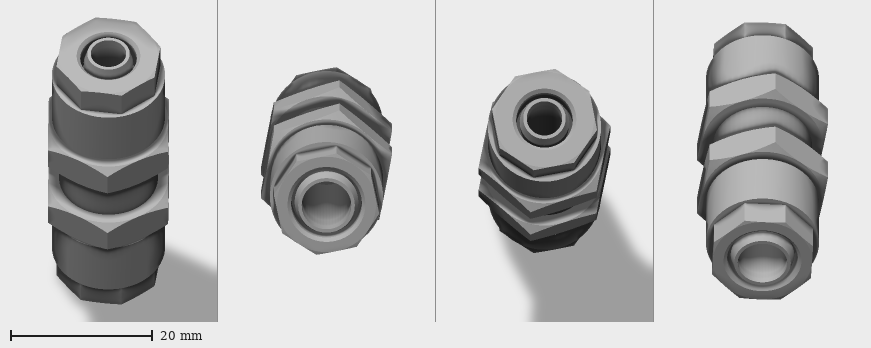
import cadquery as cq
import math

TOTAL_LENGTH = 46.0
MID_Z = TOTAL_LENGTH / 2
THREAD_DIA = 14.0

HEX_NUT_FLATS = 17.0
HEX_NUT_HEIGHT = 5.0
HEX_NUT_SPACING = 7.0
HEX_NUT_CHAMFER_ANGLE = 30.0

CAP_DIA = 16.0
CAP_INNER_END = 9.0
CAP_OUTER_END = 22.5
CAP_SKIRT_CHAMFER = 0.5
GRIP_FLATS = 14.0
GRIP_HEIGHT = 4.1
GRIP_CHAMFER_ANGLE = 15.0
CAP_MOUTH_CHAMFER = 0.5

TOP_TUBE_OUTER_DIA = 8.0
TOP_TUBE_INNER_DIA = 6.0
TOP_STEM_DIA = 6.8
BOTTOM_TUBE_OUTER_DIA = 10.0
BOTTOM_TUBE_INNER_DIA = 8.0
BOTTOM_STEM_DIA = 8.5
NOZZLE_WALL = 0.5
BARB_RISE = 0.5
BARB_ANGLE = 15.0

NOZZLE_END = MID_Z
THREAD_END = CAP_OUTER_END - GRIP_HEIGHT


def rise(run, angle):
    """Height gained by a slope over a horizontal run."""
    return run * math.tan(math.radians(angle))


def revolve(profile):
    """Revolve (radius, height) points about the Z axis."""
    return cq.Workplane("XZ").polyline(profile).close().revolve(360, (0, 0, 0), (0, 1, 0))


def cylinder(diameter, bottom, top):
    return cq.Workplane("XY").workplane(offset=bottom).circle(diameter / 2).extrude(top - bottom)


def prism(sides, flats, bottom, top):
    """Regular prism with a corner on the X axis."""
    corner_dia = flats / math.cos(math.pi / sides)
    return cq.Workplane("XY").workplane(offset=bottom).polygon(sides, corner_dia).extrude(top - bottom)


def chamfer_cone(flats, top, angle):
    """Solid below a cone that leaves a circle of the flats' width at height top."""
    face_radius = flats / 2
    slant_run = face_radius
    rim_radius = face_radius + slant_run
    return revolve([
        (0, 0),
        (rim_radius, 0),
        (rim_radius, top - rise(slant_run, angle)),
        (face_radius, top),
        (0, top),
    ])


def to_bottom_end(half):
    """Mirror a part built upward from mid-length to the other end."""
    return half.mirror("XY")


def make_nozzle_end(tube_inner_dia, stem_dia):
    """Upper half of the body, with mid-length at z = 0."""
    thread_radius = THREAD_DIA / 2
    tip_radius = tube_inner_dia / 2
    bore_radius = tip_radius - NOZZLE_WALL
    barb_length = BARB_RISE / math.tan(math.radians(BARB_ANGLE))
    barb_z = NOZZLE_END - barb_length
    return revolve([
        (bore_radius, 0),
        (thread_radius, 0),
        (thread_radius, THREAD_END),
        (stem_dia / 2, THREAD_END),
        (stem_dia / 2, barb_z),
        (tip_radius + BARB_RISE, barb_z),
        (tip_radius, NOZZLE_END),
        (bore_radius, NOZZLE_END),
    ])


def make_body():
    top_end = make_nozzle_end(TOP_TUBE_INNER_DIA, TOP_STEM_DIA)
    bottom_end = to_bottom_end(make_nozzle_end(BOTTOM_TUBE_INNER_DIA, BOTTOM_STEM_DIA))
    return top_end.union(bottom_end).translate((0, 0, MID_Z))


def make_hex_nut(center_z):
    """Hex nut with both faces chamfered to a circle."""
    half_height = HEX_NUT_HEIGHT / 2
    cone = chamfer_cone(HEX_NUT_FLATS, half_height, HEX_NUT_CHAMFER_ANGLE)
    nut = (
        prism(6, HEX_NUT_FLATS, -half_height, half_height)
        .intersect(cone.union(cone.mirror("XY")))
        .cut(cylinder(THREAD_DIA, -half_height, half_height))
    )
    return nut.translate((0, 0, center_z))


def make_cap_nut(tube_outer_dia):
    """Cap nut for the upper end, with mid-length at z = 0."""
    skirt = cylinder(CAP_DIA, CAP_INNER_END, THREAD_END).faces("<Z").chamfer(CAP_SKIRT_CHAMFER)
    grip = prism(8, GRIP_FLATS, THREAD_END, CAP_OUTER_END)
    grip = grip.intersect(chamfer_cone(GRIP_FLATS, CAP_OUTER_END, GRIP_CHAMFER_ANGLE))

    tube_radius = tube_outer_dia / 2
    tube_hole = revolve([
        (0, THREAD_END),
        (tube_radius, THREAD_END),
        (tube_radius, CAP_OUTER_END - CAP_MOUTH_CHAMFER),
        (tube_radius + CAP_MOUTH_CHAMFER, CAP_OUTER_END),
        (0, CAP_OUTER_END),
    ])
    thread_hole = cylinder(THREAD_DIA, CAP_INNER_END, THREAD_END)
    return skirt.union(grip).cut(tube_hole).cut(thread_hole)


body = make_body()

nut_offset = (HEX_NUT_SPACING + HEX_NUT_HEIGHT) / 2
hex_nuts = [make_hex_nut(MID_Z + side * nut_offset) for side in (1, -1)]

top_cap = make_cap_nut(TOP_TUBE_OUTER_DIA).translate((0, 0, MID_Z))
bottom_cap = to_bottom_end(make_cap_nut(BOTTOM_TUBE_OUTER_DIA)).translate((0, 0, MID_Z))

result = cq.Compound.makeCompound([
    body.val(),
    *[nut.val() for nut in hex_nuts],
    top_cap.val(),
    bottom_cap.val(),
])